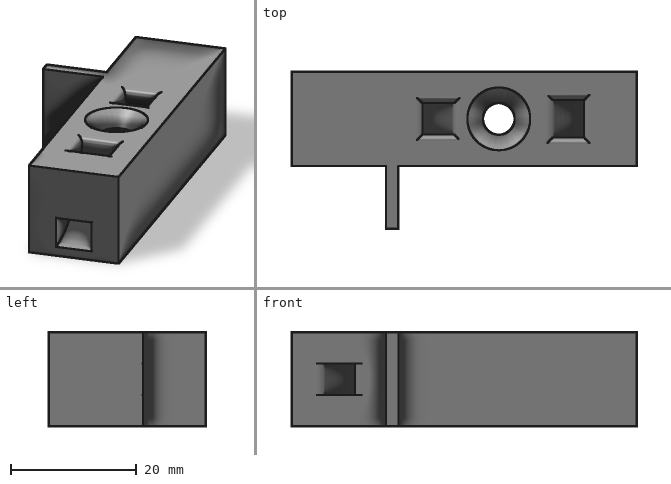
import cadquery as cq

length = 55.0
side = 15.0
fin_offset = side
fin_thickness = 2.0
fin_reach = 10.0

screw_x = 33.0
screw_diameter = 5.0
countersink_diameter = 2 * screw_diameter
countersink_angle = 90

channel = 5.0
end_channel_width = 6.0
bend_inner = (side - channel) / 2
rim_radius = 1.0
front_opening_x = bend_inner
top_opening_x = 20.95
end_opening_x = 41.5
end_bend_inner = length - end_opening_x - channel


def quarter_bend(plane, center_x, surface, towards, width, inner_radius):
    """Quarter-circle bend, symmetric about its plane, starting square to a face of the block.

    `towards` is the side of center_x, -1 or 1, on which the channel opens.
    `surface` is the in-plane height of the face; the bend lies inside the block from there.
    """
    inward = -1 if surface > 0 else 1
    outer_radius = inner_radius + channel
    diagonal = 0.5 ** 0.5

    def start(radius):
        return center_x + towards * radius, surface

    def middle(radius):
        return center_x + towards * radius * diagonal, surface + inward * radius * diagonal

    def end(radius):
        return center_x, surface + inward * radius

    return (
        cq.Workplane(plane)
        .moveTo(*start(inner_radius))
        .lineTo(*start(outer_radius))
        .threePointArc(middle(outer_radius), end(outer_radius))
        .lineTo(*end(inner_radius))
        .threePointArc(middle(inner_radius), start(inner_radius))
        .close()
        .extrude(width / 2, both=True)
    )


def straight_run(x_start, x_end, width):
    """Straight channel along X through the middle of the cross-section."""
    run = cq.Workplane("XY").box(x_end - x_start, width, channel, centered=(False, True, True))
    return run.translate((x_start, side / 2, side / 2))


def opening_box(x_left, y_middle, z_middle):
    """Selector for the edges whose centers lie around one channel opening."""
    margin = 0.05
    half = end_channel_width / 2 + margin
    low = (x_left - margin, y_middle - half, z_middle - half)
    high = (x_left + channel + margin, y_middle + half, z_middle + half)
    return cq.selectors.BoxSelector(low, high)


block = cq.Workplane("XY").box(length, side, side, centered=False)
fin = cq.Workplane("XY").box(fin_thickness, fin_reach, side, centered=False)
result = block.union(fin.translate((fin_offset, -fin_reach, 0)))

horizontal_plane = cq.Plane(origin=(0, 0, side / 2), xDir=(1, 0, 0), normal=(0, 0, 1))
vertical_plane = cq.Plane(origin=(0, side / 2, 0), xDir=(1, 0, 0), normal=(0, -1, 0))
front_bend_x = front_opening_x + bend_inner + channel
top_bend_x = top_opening_x - bend_inner
result = (
    result.cut(quarter_bend(horizontal_plane, front_bend_x, 0, -1, channel, bend_inner))
    .cut(straight_run(front_bend_x, top_bend_x, channel))
    .cut(quarter_bend(vertical_plane, top_bend_x, side, 1, channel, bend_inner))
)

result = result.cut(
    quarter_bend(vertical_plane, length, side, -1, end_channel_width, end_bend_inner)
)

for opening_x in (top_opening_x, end_opening_x):
    rim = opening_box(opening_x, side / 2, side)
    result = result.faces(">Z").edges(rim).fillet(rim_radius)
front_rim = opening_box(front_opening_x, 0, side / 2)
result = result.edges("|Z").edges(front_rim).fillet(rim_radius)

result = (
    result.faces(">Z")
    .workplane(origin=(screw_x, side / 2, side))
    .cskHole(screw_diameter, countersink_diameter, countersink_angle)
)